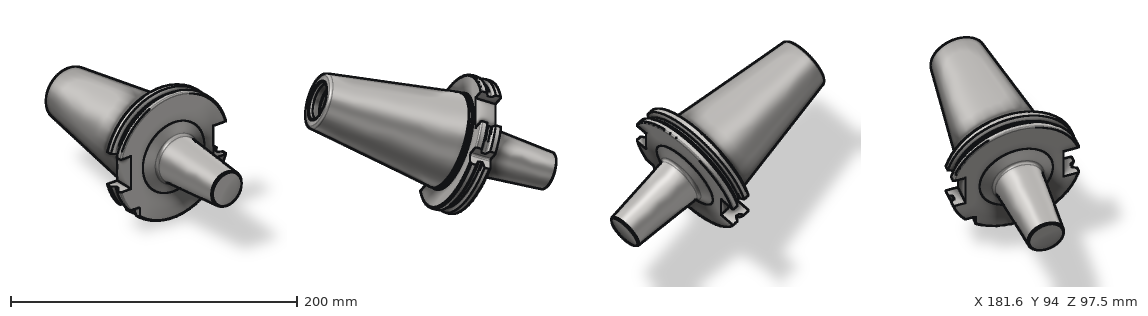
import cadquery as cq
import math


TOLERANCE = 0.01

GAUGE_RADIUS = 69.85 / 2
TAPER_SLOPE = 7 / 24 / 2
TAPER_LENGTH = 101.6
SMALL_END_FILLET = 2.0

RELIEF_START_X = -0.6
RELIEF_FLOOR_X = 0.5
RELIEF_RADIUS = 34.4
RELIEF_FILLET = 1.0

FLANGE_RADIUS = 97.5 / 2
FLANGE_START_X = 3.2
FLANGE_END_X = 19.1
FLANGE_FILLET = 1.0
GROOVE_CENTER_X = 11.25
GROOVE_WIDTH = 6.6
GROOVE_FLOOR_RADIUS = 45.7
GROOVE_FLANK_ANGLE = math.radians(30)
GROOVE_FILLET = 0.8

NOSE_END_X = 80.0
NOSE_END_RADIUS = 13.5
NOSE_ANGLE = math.radians(4.5)
NOSE_CHAMFER = 0.8
SHOULDER_RADIUS = 27.3
SHOULDER_ANGLE = math.radians(64)
SHOULDER_FILLET = 2.8

SLOT_WIDTH = 25.9
SLOT_FLOOR_FRONT_Y = -37.7
SLOT_FLOOR_BACK_Y = 35.3
NOTCH_Y = -29.9
NOTCH_Z = -30.1
NOTCH_CORNER_FILLET = 1.5

MOUTH_RADIUS = 14.5
ENTRY_RADIUS = 13.6
ENTRY_DEPTH = 0.5
PILOT_RADIUS = 12.5
PILOT_START_DEPTH = 2.7
PILOT_END_DEPTH = 7.6
STEP_RADIUS = 12.0
STEP_END_DEPTH = 10.8
STEP_CHAMFER = 0.4
COUNTERSINK_END_DEPTH = 13.1
THREAD_RADIUS = 10.3
THREAD_DEPTH = 45.0
DRILL_POINT_ANGLE = math.radians(59)


def revolve_about_x(profile):
    """Turn a closed (x, radius) profile about the X axis."""
    return profile.revolve(360, (0, 0, 0), (1, 0, 0))


def fillet_circle(solid, x, radius, size):
    """Fillet the circular edge that lies at the given x and radius."""
    edges = [
        edge
        for edge in solid.edges("%CIRCLE").vals()
        if abs(edge.Center().x - x) < TOLERANCE and abs(edge.radius() - radius) < TOLERANCE
    ]
    return solid.newObject(edges).fillet(size)


def make_taper():
    end_radius = GAUGE_RADIUS - TAPER_LENGTH * TAPER_SLOPE
    relief_start_radius = GAUGE_RADIUS + RELIEF_START_X * TAPER_SLOPE
    profile = (
        cq.Workplane("XY")
        .moveTo(-TAPER_LENGTH, 0)
        .lineTo(-TAPER_LENGTH, end_radius)
        .lineTo(RELIEF_START_X, relief_start_radius)
        .lineTo(RELIEF_FLOOR_X, RELIEF_RADIUS)
        .lineTo(FLANGE_START_X, RELIEF_RADIUS)
        .lineTo(FLANGE_START_X, 0)
        .close()
    )
    taper = revolve_about_x(profile)
    return fillet_circle(taper, -TAPER_LENGTH, end_radius, SMALL_END_FILLET)


def make_flange():
    length = FLANGE_END_X - FLANGE_START_X
    flange = (
        cq.Workplane("YZ", origin=(FLANGE_START_X, 0, 0))
        .circle(FLANGE_RADIUS)
        .extrude(length)
        .edges()
        .fillet(FLANGE_FILLET)
    )
    depth = FLANGE_RADIUS - GROOVE_FLOOR_RADIUS
    half_width = GROOVE_WIDTH / 2
    half_floor = half_width - depth * math.tan(GROOVE_FLANK_ANGLE)
    groove = revolve_about_x(
        cq.Workplane("XY")
        .moveTo(GROOVE_CENTER_X - half_width, FLANGE_RADIUS)
        .lineTo(GROOVE_CENTER_X - half_floor, GROOVE_FLOOR_RADIUS)
        .lineTo(GROOVE_CENTER_X + half_floor, GROOVE_FLOOR_RADIUS)
        .lineTo(GROOVE_CENTER_X + half_width, FLANGE_RADIUS)
        .close()
    )
    flange = flange.cut(groove)
    for side in (-1, 1):
        floor_edge_x = GROOVE_CENTER_X + side * half_floor
        flange = fillet_circle(flange, floor_edge_x, GROOVE_FLOOR_RADIUS, GROOVE_FILLET)
    return flange


def make_nose():
    shoulder_slope = math.tan(SHOULDER_ANGLE)
    nose_slope = math.tan(NOSE_ANGLE)
    nose_radius_at_flange = NOSE_END_RADIUS + (NOSE_END_X - FLANGE_END_X) * nose_slope
    shoulder_length = (SHOULDER_RADIUS - nose_radius_at_flange) / (shoulder_slope - nose_slope)
    root_x = FLANGE_END_X + shoulder_length
    root_radius = SHOULDER_RADIUS - shoulder_length * shoulder_slope
    profile = (
        cq.Workplane("XY")
        .moveTo(FLANGE_END_X, 0)
        .lineTo(FLANGE_END_X, SHOULDER_RADIUS)
        .lineTo(root_x, root_radius)
        .lineTo(NOSE_END_X, NOSE_END_RADIUS)
        .lineTo(NOSE_END_X, 0)
        .close()
    )
    nose = revolve_about_x(profile)
    nose = nose.faces(">X").edges().chamfer(NOSE_CHAMFER)
    return fillet_circle(nose, root_x, root_radius, SHOULDER_FILLET)


def make_flange_cut(y_start, y_end, z_start, z_end):
    """Box through the full flange thickness between two y and two z limits."""
    return cq.Workplane("XY").box(
        FLANGE_END_X - FLANGE_START_X, y_end - y_start, z_end - z_start, centered=False
    ).translate((FLANGE_START_X, y_start, z_start))


def make_notch():
    notch = make_flange_cut(-FLANGE_RADIUS, NOTCH_Y, -FLANGE_RADIUS, NOTCH_Z)
    return notch.edges(">Y and >Z").fillet(NOTCH_CORNER_FILLET)


def make_bore():
    point_length = THREAD_RADIUS / math.tan(DRILL_POINT_ANGLE)
    step_start_depth = PILOT_END_DEPTH + PILOT_RADIUS - STEP_RADIUS
    bore = revolve_about_x(
        cq.Workplane("XY")
        .moveTo(0, 0)
        .lineTo(0, MOUTH_RADIUS)
        .lineTo(ENTRY_DEPTH, ENTRY_RADIUS)
        .lineTo(PILOT_START_DEPTH, PILOT_RADIUS)
        .lineTo(PILOT_END_DEPTH, PILOT_RADIUS)
        .lineTo(step_start_depth, STEP_RADIUS)
        .lineTo(STEP_END_DEPTH, STEP_RADIUS)
        .lineTo(STEP_END_DEPTH + STEP_CHAMFER, STEP_RADIUS - STEP_CHAMFER)
        .lineTo(COUNTERSINK_END_DEPTH, THREAD_RADIUS)
        .lineTo(THREAD_DEPTH, THREAD_RADIUS)
        .lineTo(THREAD_DEPTH + point_length, 0)
        .close()
    )
    return bore.translate((-TAPER_LENGTH, 0, 0))


holder = make_taper().union(make_flange()).union(make_nose())
holder = fillet_circle(holder, FLANGE_START_X, RELIEF_RADIUS, RELIEF_FILLET)

half_slot = SLOT_WIDTH / 2
holder = holder.cut(make_flange_cut(-FLANGE_RADIUS, SLOT_FLOOR_FRONT_Y, -half_slot, half_slot))
holder = holder.cut(make_flange_cut(SLOT_FLOOR_BACK_Y, FLANGE_RADIUS, -half_slot, half_slot))
holder = holder.cut(make_notch())

result = holder.cut(make_bore())